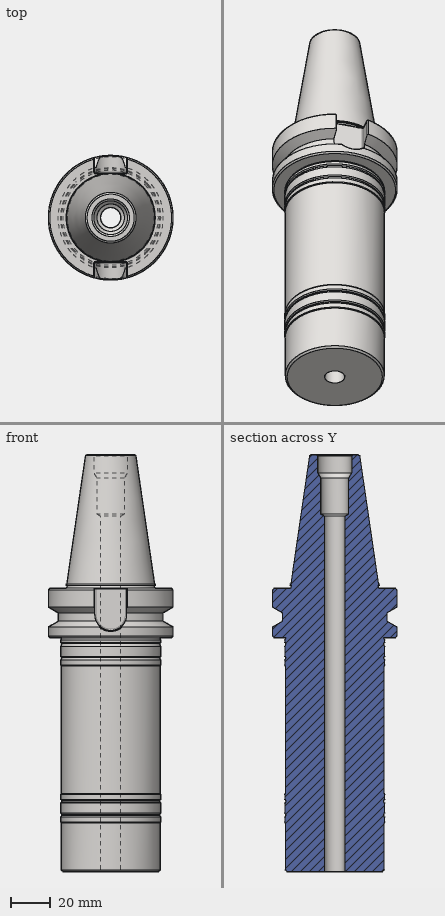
import cadquery as cq
import math


GAUGE_D = 44.45
TAPER_LENGTH = 65.4
TAPER_RATIO = 7 / 24
TIP_CHAMFER_W = 0.9
TIP_CHAMFER_H = 0.6
LIP_D = 45.0
LIP_HEIGHT = 0.6
NECK_D = 43.8
NECK_FOOT_D = 44.8

FLANGE_D = 63.0
FLANGE_TOP = -2.0
FLANGE_BOTTOM = -27.0
FLANGE_CHAMFER = 0.8
V_GROOVE_D = 53.0
V_GROOVE_TOP = -11.6
V_GROOVE_BOTTOM = -21.5
V_FLANK_ANGLE = 30.0

SLOT_WIDTH = 16.1
SLOT_FLOOR_Y = 22.5
SLOT_END = -23.3
SLOT_CHAMFER = 0.5
SLOT_FLOOR_FILLET = 0.6

SELECT_MARGIN = 0.01

BODY_BOTTOM = -145.0
BODY_D = 50.0
BAND_D = 50.5
BODY_CHAMFER_W = 1.0
BODY_CHAMFER_H = 0.9
UPPER_BAND_BOTTOM = -40.7
LOWER_BAND_TOP = -105.9
LOWER_BAND_BOTTOM = -119.9
BAND_STEP_HEIGHT = 0.5

NOTCH_DEPTH = 0.5
UNDERCUT_HEIGHT = 1.0
NARROW_NOTCH_TOPS = (-29.4, -36.4)
NARROW_DROP = 0.6
NARROW_RISE = 1.3
WIDE_NOTCH_TOPS = (-108.4, -115.4)
WIDE_DROP = 0.6
WIDE_FLAT = 0.7
WIDE_RISE = 0.6

COUNTERBORE_D = 17.0
COUNTERBORE_MOUTH_D = 18.9
COUNTERBORE_MOUTH_DEPTH = 0.7
COUNTERBORE_DEPTH = 9.2
THREAD_D = 13.84
THREAD_DEPTH = 30.0
THROUGH_D = 10.11
COUNTERBORE_CONE_ANGLE = 60.0
THREAD_CONE_ANGLE = 31.0


def flank_height(width, angle):
    """Height of a conical face that spans the given radial width."""
    return width * math.tan(math.radians(angle))


def make_solid_of_revolution(outline):
    """Revolve a closed outline of (radius, height) points about Z."""
    return cq.Workplane("XZ").polyline(outline).close().revolve(360, (0, 0, 0), (0, 1, 0))


def make_taper():
    """Taper with a chamfered tip, a lip at the gauge plane and a flared neck."""
    gauge_r = GAUGE_D / 2
    tip_r = gauge_r - TAPER_LENGTH * TAPER_RATIO / 2
    shoulder_r = tip_r + TIP_CHAMFER_H * TAPER_RATIO / 2
    return make_solid_of_revolution([
        (0, FLANGE_TOP),
        (NECK_FOOT_D / 2, FLANGE_TOP),
        (NECK_D / 2, -LIP_HEIGHT),
        (LIP_D / 2, -LIP_HEIGHT),
        (LIP_D / 2, 0),
        (gauge_r, 0),
        (shoulder_r, TAPER_LENGTH - TIP_CHAMFER_H),
        (shoulder_r - TIP_CHAMFER_W, TAPER_LENGTH),
        (0, TAPER_LENGTH),
    ])


def make_flange_blank():
    """Flange disc with chamfered rims, before slots and groove."""
    flange_r = FLANGE_D / 2
    rim_r = flange_r - FLANGE_CHAMFER
    return make_solid_of_revolution([
        (0, FLANGE_TOP),
        (rim_r, FLANGE_TOP),
        (flange_r, FLANGE_TOP - FLANGE_CHAMFER),
        (flange_r, FLANGE_BOTTOM + FLANGE_CHAMFER),
        (rim_r, FLANGE_BOTTOM),
        (0, FLANGE_BOTTOM),
    ])


def make_v_groove():
    """Ring that cuts the gripper groove."""
    flange_r = FLANGE_D / 2
    groove_r = V_GROOVE_D / 2
    flank = flank_height(flange_r - groove_r, V_FLANK_ANGLE)
    return make_solid_of_revolution([
        (flange_r, V_GROOVE_TOP),
        (groove_r, V_GROOVE_TOP - flank),
        (groove_r, V_GROOVE_BOTTOM + flank),
        (flange_r, V_GROOVE_BOTTOM),
    ])


def make_body():
    """Cylindrical body with two slightly raised bands and a chamfered end."""
    body_r = BODY_D / 2
    band_r = BAND_D / 2
    return make_solid_of_revolution([
        (0, FLANGE_BOTTOM),
        (band_r, FLANGE_BOTTOM),
        (band_r, UPPER_BAND_BOTTOM),
        (body_r, UPPER_BAND_BOTTOM - BAND_STEP_HEIGHT),
        (body_r, LOWER_BAND_TOP + BAND_STEP_HEIGHT),
        (band_r, LOWER_BAND_TOP),
        (band_r, LOWER_BAND_BOTTOM),
        (body_r, LOWER_BAND_BOTTOM - BAND_STEP_HEIGHT),
        (body_r, BODY_BOTTOM + BODY_CHAMFER_H),
        (body_r - BODY_CHAMFER_W, BODY_BOTTOM),
        (0, BODY_BOTTOM),
    ])


def make_notch(top, drop, flat, rise):
    """Ring that cuts a notch: upper flank, flat floor (may be zero) and lower flank."""
    outer_r = BAND_D / 2
    floor_r = outer_r - NOTCH_DEPTH
    floor_top = top - drop
    floor_bottom = floor_top - flat
    outline = [(outer_r, top), (floor_r, floor_top)]
    if flat > 0:
        outline.append((floor_r, floor_bottom))
    outline.append((outer_r, floor_bottom - rise))
    return make_solid_of_revolution(outline)


def make_bore():
    """Counterbore, thread core and through hole, joined by conical steps."""
    mouth_r = COUNTERBORE_MOUTH_D / 2
    counterbore_r = COUNTERBORE_D / 2
    thread_r = THREAD_D / 2
    through_r = THROUGH_D / 2
    counterbore_floor = TAPER_LENGTH - COUNTERBORE_DEPTH
    thread_floor = TAPER_LENGTH - THREAD_DEPTH
    return make_solid_of_revolution([
        (0, TAPER_LENGTH),
        (mouth_r, TAPER_LENGTH),
        (counterbore_r, TAPER_LENGTH - COUNTERBORE_MOUTH_DEPTH),
        (counterbore_r, counterbore_floor),
        (thread_r, counterbore_floor - flank_height(counterbore_r - thread_r, COUNTERBORE_CONE_ANGLE)),
        (thread_r, thread_floor),
        (through_r, thread_floor - flank_height(thread_r - through_r, THREAD_CONE_ANGLE)),
        (through_r, BODY_BOTTOM),
        (0, BODY_BOTTOM),
    ])


def make_slot():
    """Round-ended slot on the +Y side, open at the flange top, with a filleted floor."""
    half_width = SLOT_WIDTH / 2
    end_center = SLOT_END + half_width
    slot = (
        cq.Workplane("XZ", origin=(0, SLOT_FLOOR_Y, 0))
        .moveTo(-half_width, 0)
        .lineTo(-half_width, end_center)
        .threePointArc((0, SLOT_END), (half_width, end_center))
        .lineTo(half_width, 0)
        .close()
        .extrude(-FLANGE_D / 2)
    )
    return slot.faces("<Y").edges("not >Z").fillet(SLOT_FLOOR_FILLET)


def make_flange():
    """Flange with two opposite drive slots, chamfered slot rims and the gripper groove."""
    slot = make_slot()
    flange = make_flange_blank().cut(slot).cut(slot.mirror("XZ"))
    half_width = SLOT_WIDTH / 2
    for side in (1, -1):
        rim_near_y = side * (SLOT_FLOOR_Y + SLOT_FLOOR_FILLET)
        rim_far_y = side * FLANGE_D / 2
        rim_box = cq.selectors.BoxSelector(
            (-half_width - SELECT_MARGIN, rim_near_y, SLOT_END - SELECT_MARGIN),
            (half_width + SELECT_MARGIN, rim_far_y, FLANGE_TOP + SELECT_MARGIN),
        )
        flange = flange.edges(rim_box).chamfer(SLOT_CHAMFER)
    return flange.cut(make_v_groove())


def make_all_notches():
    notches = [make_notch(FLANGE_BOTTOM, 0, 0, UNDERCUT_HEIGHT)]
    for notch_top in NARROW_NOTCH_TOPS:
        notches.append(make_notch(notch_top, NARROW_DROP, 0, NARROW_RISE))
    for notch_top in WIDE_NOTCH_TOPS:
        notches.append(make_notch(notch_top, WIDE_DROP, WIDE_FLAT, WIDE_RISE))
    return notches


result = make_taper().union(make_flange()).union(make_body())
for notch in make_all_notches():
    result = result.cut(notch)
result = result.cut(make_bore())